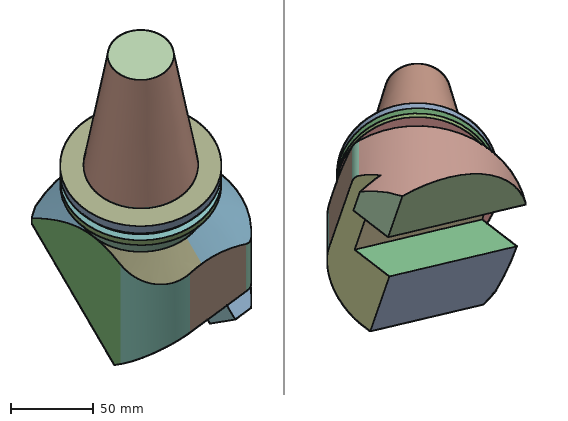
import cadquery as cq
import math

total_height = 252.5
shank_height = 102.7
shank_tip_radius = 40.5 / 2
shank_base_radius = 70.0 / 2
shank_collar_height = 1.0
flange_radius = 98.5 / 2
flange_height = 17.7
groove_radius = 91.5 / 2
groove_top = -6.5
groove_bottom = -13.1
groove_bevel_height = 1.4
neck_radius = 80.0 / 2
neck_bottom = -34.5

head_radius = 67.5
shoulder_bottom = neck_bottom - (head_radius - neck_radius)
front_flat_y = -neck_radius
side_flat_x = 53.3
front_corner_radius = 30.0
back_corner_radius = 10.0

mounting_offset = 121.5
slot_width = 31.3
slot_depth = slot_width
head_end_to_tip = 14.6

tip_z = shank_height - total_height
tip_x = -mounting_offset - tip_z
diagonal = math.sqrt(0.5)
cut_reach = 252.5


def make_revolved_body():
    """Shank, grooved flange, neck and conical shoulder down to the head cylinder."""
    profile = [
        (0, shank_height),
        (shank_tip_radius, shank_height),
        (shank_base_radius, shank_collar_height),
        (shank_base_radius, 0),
        (flange_radius, 0),
        (flange_radius, groove_top),
        (groove_radius, groove_top - groove_bevel_height),
        (groove_radius, groove_bottom + groove_bevel_height),
        (flange_radius, groove_bottom),
        (flange_radius, -flange_height),
        (neck_radius, -flange_height),
        (neck_radius, neck_bottom),
        (head_radius, shoulder_bottom),
        (head_radius, tip_z),
        (0, tip_z),
    ]
    return cq.Workplane("XZ").polyline(profile).close().revolve(360, (0, 0), (0, 1))


def make_head_envelope():
    """Vertical prism that trims the head to its two flats and rounded corners."""
    height = -flange_height - tip_z
    trimmed_circle = (
        cq.Workplane("XY", origin=(0, 0, tip_z))
        .circle(head_radius)
        .extrude(height)
        .intersect(
            cq.Workplane("XY", origin=(0, 0, tip_z))
            .rect(side_flat_x + head_radius, head_radius - front_flat_y)
            .extrude(height)
            .translate(((side_flat_x - head_radius) / 2, (head_radius + front_flat_y) / 2, 0))
        )
    )
    front_corner = cq.selectors.NearestToPointSelector((side_flat_x, front_flat_y, tip_z + height / 2))
    back_corner_y = math.sqrt(head_radius**2 - side_flat_x**2)
    back_corner = cq.selectors.NearestToPointSelector((side_flat_x, back_corner_y, tip_z + height / 2))
    return (
        trimmed_circle.edges("|Z").edges(front_corner).fillet(front_corner_radius)
        .edges("|Z").edges(back_corner).fillet(back_corner_radius)
    )


def tilted_block(along, inward, y_range):
    """Block aligned with the mounting face, located from the lowest corner.

    along: range up the mounting face; inward: range into the head, normal to that face.
    """
    corners = [(along[0], inward[0]), (along[1], inward[0]), (along[1], inward[1]), (along[0], inward[1])]
    outline = [
        (tip_x + diagonal * (depth - travel), tip_z + diagonal * (depth + travel))
        for travel, depth in corners
    ]
    return (
        cq.Workplane("XZ", origin=(0, y_range[0], 0))
        .polyline(outline)
        .close()
        .extrude(y_range[0] - y_range[1])
    )


body = make_revolved_body()
below_flange = (
    cq.Workplane("XY", origin=(0, 0, tip_z))
    .rect(cut_reach, cut_reach)
    .extrude(-flange_height - tip_z)
)
upper = body.cut(below_flange)
head = body.intersect(make_head_envelope())

whole_width = (-cut_reach, cut_reach)
head = head.cut(tilted_block((-cut_reach, cut_reach), (-cut_reach, 0), whole_width))

head = head.cut(tilted_block((-cut_reach, 0), (-cut_reach, cut_reach), whole_width))

head = head.cut(tilted_block((-cut_reach, head_end_to_tip), (-cut_reach, cut_reach), (-cut_reach, slot_width)))
head = head.cut(tilted_block((-cut_reach, head_end_to_tip), (slot_depth, cut_reach), whole_width))

head = head.cut(tilted_block((-cut_reach, cut_reach), (-cut_reach, slot_depth), (0, slot_width)))

result = upper.union(head)